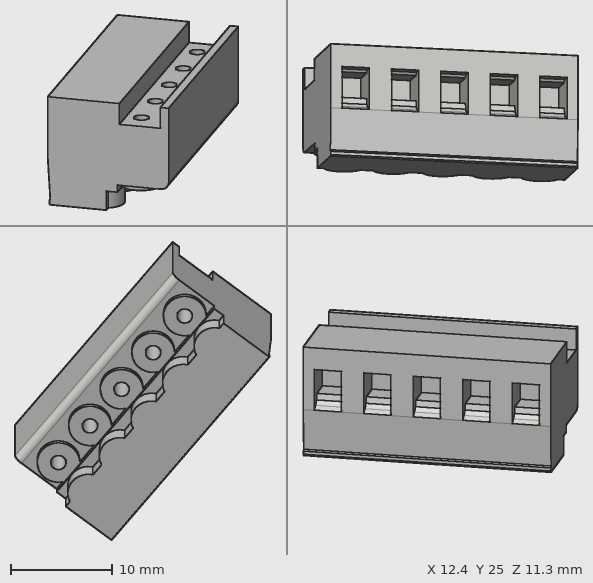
import cadquery as cq

depth = 12.4
length = 25.0
height = 11.3

pole_count = 5
pole_pitch = length / pole_count

groove_front_x = 7.35
rear_wall = 0.85
groove_floor_z = 9.12

shelf_z = 2.75
shelf_corner_radius = 0.8
step_x = 7.15
foot_x = 6.0
foot_top_z = 2.0

taper_top_z = 4.85
taper_bottom_z = 0.65
taper_inset = 0.25
lip_top_z = 0.48
lip_bottom_z = 0.15
lip_inset = 0.18
bottom_inset = 0.22

column_radius = 2.02

hole_x = 8.9
hole_diameter = 1.5
boss_radius = 2.1
boss_bottom_z = 2.22
neck_width = 2.82

opening_width = 2.75
opening_top_z = 9.05
inner_ceiling_z = 8.78
ramp_end_x = 0.62
ramp_end_z = 5.18
ridge_foot_x = 1.05
ridge_foot_z = 5.58
ridge_top_x = 1.22
ridge_top_z = 6.2
opening_depth = 3.75


def make_body():
    """Housing cross-section in XZ, extruded along the full length."""
    rear_wall_x = depth - rear_wall
    profile = (
        cq.Workplane("XZ")
        .moveTo(0, height)
        .lineTo(groove_front_x, height)
        .lineTo(groove_front_x, groove_floor_z)
        .lineTo(rear_wall_x, groove_floor_z)
        .lineTo(rear_wall_x, height)
        .lineTo(depth, height)
        .lineTo(depth, shelf_z + shelf_corner_radius)
        .radiusArc((depth - shelf_corner_radius, shelf_z), shelf_corner_radius)
        .lineTo(step_x, shelf_z)
        .lineTo(step_x, foot_top_z)
        .lineTo(foot_x, foot_top_z)
        .lineTo(foot_x, 0)
        .lineTo(bottom_inset, 0)
        .lineTo(lip_inset, lip_bottom_z)
        .lineTo(lip_inset, lip_top_z)
        .lineTo(taper_inset, taper_bottom_z)
        .lineTo(0, taper_top_z)
        .close()
    )
    return profile.extrude(-length)


def make_column(pole_y):
    """Round column whose rear edge is flush with the step above it."""
    center_x = step_x - column_radius
    return cq.Workplane("XY").center(center_x, pole_y).circle(column_radius).extrude(foot_top_z)


def make_boss(pole_y):
    """Low round boss under the shelf, with a straight neck reaching the step."""
    boss_height = shelf_z - boss_bottom_z
    plane = cq.Workplane("XY", origin=(hole_x, pole_y, boss_bottom_z))
    boss = plane.circle(boss_radius).extrude(boss_height)
    neck_length = hole_x - step_x
    neck = plane.center(-neck_length / 2, 0).rect(neck_length, neck_width).extrude(boss_height)
    return boss.union(neck)


def make_pin_hole(pole_y):
    return cq.Workplane("XY").center(hole_x, pole_y).circle(hole_diameter / 2).extrude(height)


def make_wire_opening(pole_y):
    """Pocket with a ramp that curves up to a ridge, and a sloped ceiling step above the ridge."""
    profile = (
        cq.Workplane("XZ", origin=(0, pole_y, 0))
        .moveTo(0, taper_top_z)
        .lineTo(ramp_end_x, ramp_end_z)
        .tangentArcPoint((ridge_foot_x, ridge_foot_z), relative=False)
        .lineTo(ridge_top_x, ridge_top_z)
        .lineTo(opening_depth, ridge_top_z)
        .lineTo(opening_depth, inner_ceiling_z)
        .lineTo(ridge_top_x, inner_ceiling_z)
        .lineTo(ridge_foot_x, opening_top_z)
        .lineTo(0, opening_top_z)
        .close()
    )
    return profile.extrude(opening_width / 2, both=True)


result = make_body()
for pole in range(pole_count):
    pole_y = (pole + 0.5) * pole_pitch
    result = result.union(make_column(pole_y)).union(make_boss(pole_y))
    result = result.cut(make_pin_hole(pole_y)).cut(make_wire_opening(pole_y))